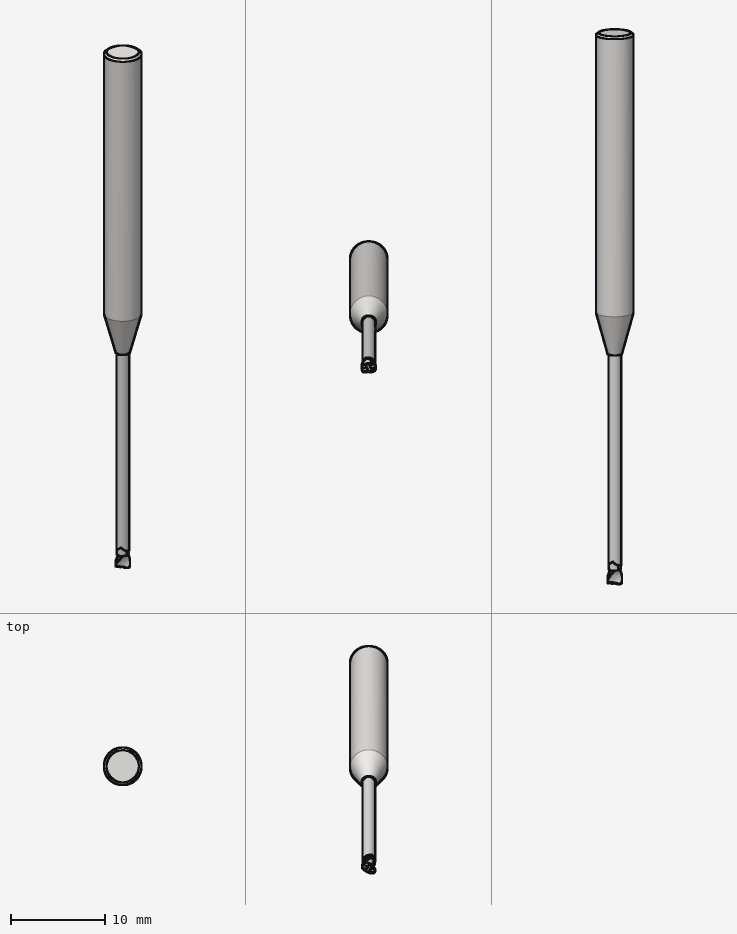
import cadquery as cq

total_length = 60.0
shank_radius = 2.01
shank_bottom = 29.5
end_chamfer_width = 0.3
end_chamfer_height = 0.25
cone_bottom = 25.0
cone_bottom_radius = 0.8
neck_radius = 0.69

seat_bottom = 2.0
seat_peak = 2.5

head_radius = 0.8
teeth_height = 1.55
teeth_twist = 90.0
tooth_half_width = 0.2
core_half_width = 0.5
corner_radius = 0.2
stem_width = 1.1
tip_flat_half_width = 0.2
relief_height = 0.25
relief_half_width = 0.5
tip_notch_width = 0.35
tip_notch_depth = 0.2


def make_seat_wedge():
    """Wedge under the V seat, reaching down to the tip, with its ridge along Y."""
    return (
        cq.Workplane("XZ")
        .moveTo(-neck_radius, 0)
        .lineTo(neck_radius, 0)
        .lineTo(neck_radius, seat_bottom)
        .lineTo(0, seat_peak)
        .lineTo(-neck_radius, seat_bottom)
        .close()
        .extrude(neck_radius, both=True)
    )


def make_shank():
    """Chamfered shank, cone and slim neck, with the V seat cut in the lower end."""
    body = (
        cq.Workplane("XZ")
        .moveTo(0, seat_bottom)
        .lineTo(neck_radius, seat_bottom)
        .lineTo(neck_radius, cone_bottom)
        .lineTo(cone_bottom_radius, cone_bottom)
        .lineTo(shank_radius, shank_bottom)
        .lineTo(shank_radius, total_length - end_chamfer_height)
        .lineTo(shank_radius - end_chamfer_width, total_length)
        .lineTo(0, total_length)
        .close()
        .revolve(360, (0, 0), (0, 1))
    )
    return body.cut(make_seat_wedge())


def make_teeth():
    """Two opposite teeth on a thicker core, twisted upward and rounded at the tip corners."""
    twisted = (
        cq.Workplane("XY")
        .moveTo(-head_radius, -tooth_half_width)
        .threePointArc((0, -core_half_width), (head_radius, -tooth_half_width))
        .lineTo(head_radius, tooth_half_width)
        .threePointArc((0, core_half_width), (-head_radius, tooth_half_width))
        .close()
        .twistExtrude(teeth_height, teeth_twist)
    )
    envelope = (
        cq.Workplane("XY").circle(head_radius).extrude(teeth_height).faces("<Z").edges().fillet(corner_radius)
    )
    return twisted.intersect(envelope)


def make_end_relief():
    """Space kept below the end faces, which slope up on both sides of the cutting edge."""
    slope = relief_height / (relief_half_width - tip_flat_half_width)
    outer_height = slope * (head_radius - tip_flat_half_width)
    one_side = (
        cq.Workplane("YZ")
        .moveTo(tip_flat_half_width, 0)
        .lineTo(head_radius, 0)
        .lineTo(head_radius, outer_height)
        .close()
        .extrude(head_radius, both=True)
    )
    return one_side.union(one_side.mirror("XZ"))


def make_head():
    """Cutting head: fluted teeth below a flat-sided stem that fills the V seat."""
    stem_block = cq.Workplane("XY").workplane(offset=teeth_height).rect(stem_width, 2 * neck_radius)
    stem_block = stem_block.extrude(seat_peak - teeth_height)
    neck_round = cq.Workplane("XY").circle(neck_radius).extrude(seat_peak)
    stem = stem_block.intersect(neck_round).intersect(make_seat_wedge())
    tip_notch = cq.Workplane("XY").rect(tip_notch_width, 2 * head_radius).extrude(tip_notch_depth)
    return make_teeth().union(stem).cut(make_end_relief()).cut(tip_notch)


shank = make_shank()
head = make_head()

result = cq.Compound.makeCompound([shank.solids().val(), head.solids().val()])